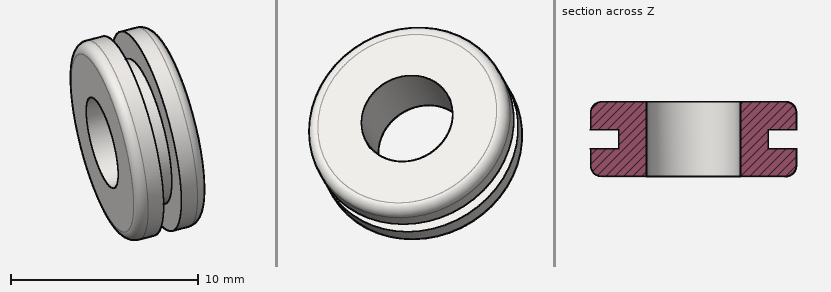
import cadquery as cq

outer_diameter = 11.0
groove_diameter = 8.0
bore_diameter = 5.0
total_width = 4.0
groove_width = 1.0
rim_fillet = 0.6


def make_disc(diameter, width):
    """Solid disc along Y, centred on the origin."""
    return cq.Workplane("XZ", origin=(0, width / 2, 0)).circle(diameter / 2).extrude(width)


def make_rounded_body():
    """Full-width disc with both outer rims rounded."""
    body = make_disc(outer_diameter, total_width)
    return body.faces("<Y or >Y").edges().fillet(rim_fillet)


def make_groove():
    """Ring that is cut away to form the central panel groove."""
    return make_disc(outer_diameter, groove_width).cut(make_disc(groove_diameter, groove_width))


bore = make_disc(bore_diameter, total_width)
result = make_rounded_body().cut(make_groove()).cut(bore)